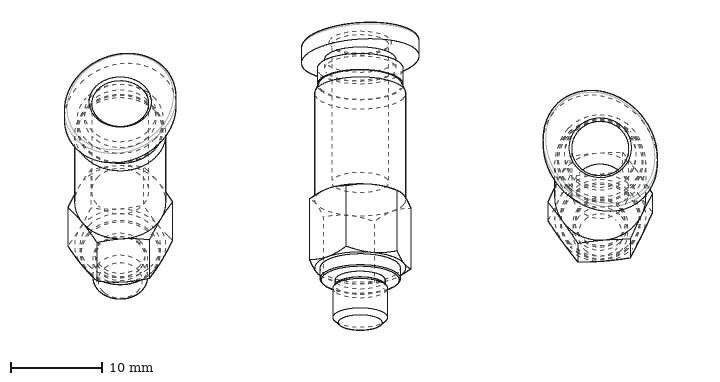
import cadquery as cq
import math

thread_top = 4.35
collar_bottom = 5.0
hex_bottom = 6.4
hex_top = 14.4
body_top = 27.93
sleeve_top = 29.8
cap_bottom = 30.85
total_height = 32.9

thread_diameter = 6.02
undercut_diameter = 5.5
collar_diameter = 8.82
body_diameter = 10.0
sleeve_diameter = 9.45
cap_neck_diameter = 7.85

hex_across_flats = body_diameter
hex_across_corners = hex_across_flats / math.cos(math.radians(30))
hex_chamfer_angle = 30

cap_width_x = 11.8
cap_width_y = 14.0

socket_diameter = 6.25
socket_depth = 16.45

thread_tip_chamfer = 0.6
thread_top_chamfer = 0.3
collar_chamfer = 0.13
body_chamfer_height = 1.0
body_chamfer_width = 0.43
cap_edge_radius = 0.3
socket_chamfer = 0.3


def cylinder(diameter, bottom, top):
    """Solid cylinder on the Z axis between two heights."""
    return cq.Workplane("XY").workplane(offset=bottom).circle(diameter / 2).extrude(top - bottom)


def make_thread():
    """Thread envelope, chamfered at both ends, with the undercut above it."""
    thread = cylinder(thread_diameter, 0, thread_top)
    thread = thread.faces("<Z").chamfer(thread_tip_chamfer)
    thread = thread.faces(">Z").chamfer(thread_top_chamfer)
    return thread.union(cylinder(undercut_diameter, thread_top, collar_bottom))


def make_collar():
    return cylinder(collar_diameter, collar_bottom, hex_bottom).faces("<Z").chamfer(collar_chamfer)


def make_hexagon():
    """Hexagon whose corners are trimmed by a cone at each end."""
    prism = (
        cq.Workplane("XY")
        .workplane(offset=hex_bottom)
        .polygon(6, hex_across_corners)
        .extrude(hex_top - hex_bottom)
        .rotate((0, 0, 0), (0, 0, 1), 30)
    )
    flat_radius = hex_across_flats / 2
    corner_radius = hex_across_corners / 2
    trim_height = (corner_radius - flat_radius) * math.tan(math.radians(hex_chamfer_angle))
    envelope = (
        cq.Workplane("XZ")
        .moveTo(0, hex_bottom)
        .lineTo(flat_radius, hex_bottom)
        .lineTo(corner_radius, hex_bottom + trim_height)
        .lineTo(corner_radius, hex_top - trim_height)
        .lineTo(flat_radius, hex_top)
        .lineTo(0, hex_top)
        .close()
        .revolve(360, (0, 0, 0), (0, 1, 0))
    )
    return prism.intersect(envelope)


def make_body():
    """Cylindrical body tapering inwards at its upper end."""
    body = cylinder(body_diameter, hex_top, body_top)
    return body.faces(">Z").edges().chamfer(body_chamfer_height, body_chamfer_width)


def make_cap():
    cap = (
        cq.Workplane("XY")
        .workplane(offset=cap_bottom)
        .ellipse(cap_width_x / 2, cap_width_y / 2)
        .extrude(total_height - cap_bottom)
    )
    return cap.faces(">Z").edges().fillet(cap_edge_radius)


def make_socket():
    """Blind tube socket with a countersunk mouth, to be cut from the top."""
    hole = cylinder(socket_diameter, total_height - socket_depth, total_height)
    mouth = cq.Workplane("XY").add(
        cq.Solid.makeCone(
            socket_diameter / 2,
            socket_diameter / 2 + socket_chamfer,
            socket_chamfer,
            pnt=cq.Vector(0, 0, total_height - socket_chamfer),
        )
    )
    return hole.union(mouth)


result = (
    make_thread()
    .union(make_collar())
    .union(make_hexagon())
    .union(make_body())
    .union(cylinder(sleeve_diameter, body_top, sleeve_top))
    .union(cylinder(cap_neck_diameter, sleeve_top, cap_bottom))
    .union(make_cap())
    .cut(make_socket())
)